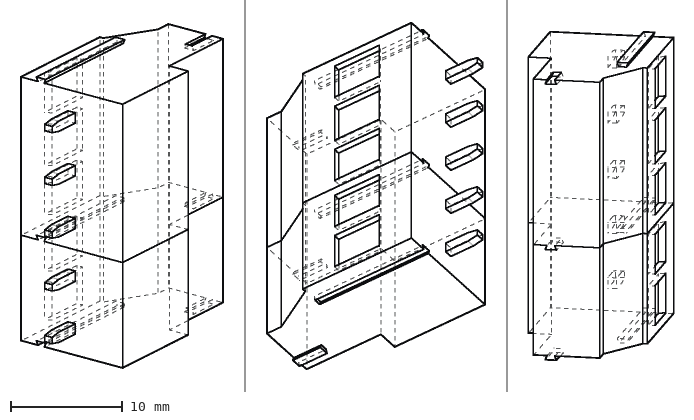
import cadquery as cq


pitch = 5.08
width = 11.3
depth = 18.18
wire_face_length = 12.0
ledge = 0.4
head_left = 3.1
head_right = 9.17
head_flat = 1.6
back_length = 9.98

window_start = 3.56
window_length = 4.93
window_depth = 0.63
window_slope_run = 0.31
partition = 1.07
end_wall = 0.9

dovetail_height = 0.4
dovetail_root = 0.7
dovetail_tip = 1.02
ridge_x = 2.25
tongue_x = 7.57
tongue_length = 3.05

pin_width = 0.8
pin_height = 1.0
pin_tip_height = 0.6
pin_length = 3.5
pin_taper_length = 1.02


def housing(height):
    """Plain housing block with its narrowed head, before windows and joints."""
    outline = [
        (0, 0),
        (width, 0),
        (width, back_length),
        (head_right, back_length),
        (head_right, depth),
        (head_left, depth),
        (head_left, depth - head_flat),
        (ledge, wire_face_length),
        (0, wire_face_length),
    ]
    return cq.Workplane("XY").polyline(outline).close().extrude(height)


def dovetail(x, face_z, direction, y_start, length):
    """Dovetail bar along Y that widens away from face_z; direction is +1 up or -1 down."""
    tip_z = face_z + direction * dovetail_height
    section = [
        (x - dovetail_root / 2, face_z),
        (x + dovetail_root / 2, face_z),
        (x + dovetail_tip / 2, tip_z),
        (x - dovetail_tip / 2, tip_z),
    ]
    plane = cq.Workplane("XZ", origin=(0, y_start, 0))
    return plane.polyline(section).close().extrude(-length)


def ridge(face_z):
    """Long ridge standing up from face_z, also the cutter for its groove."""
    return dovetail(ridge_x, face_z, 1, 0, wire_face_length)


def tongue(face_z):
    """Short tongue hanging below face_z, also the cutter for its groove."""
    return dovetail(tongue_x, face_z, -1, depth - tongue_length, tongue_length)


def window(z_low, z_high):
    """Cutter for one shallow wire entry whose pin-side wall is sloped."""
    window_end = window_start + window_length
    section = [
        (0, window_start),
        (window_depth, window_start + window_slope_run),
        (window_depth, window_end),
        (0, window_end),
    ]
    plane = cq.Workplane("XY", origin=(0, 0, z_low))
    return plane.polyline(section).close().extrude(z_high - z_low)


def pin(z):
    """Solder pin centred on z, tapered in height towards its free end."""
    taper_y = pin_taper_length - pin_length
    section = [
        (0, z - pin_height / 2),
        (taper_y, z - pin_height / 2),
        (-pin_length, z - pin_tip_height / 2),
        (-pin_length, z + pin_tip_height / 2),
        (taper_y, z + pin_height / 2),
        (0, z + pin_height / 2),
    ]
    plane = cq.Workplane("YZ", origin=((width - pin_width) / 2, 0, 0))
    return plane.polyline(section).close().extrude(pin_width)


def module(poles):
    """Terminal module with the given number of poles."""
    height = poles * pitch
    body = housing(height)
    for pole in range(poles):
        cell_low = pole * pitch
        cell_high = cell_low + pitch
        window_low = max(cell_low + partition / 2, end_wall)
        window_high = min(cell_high - partition / 2, height - end_wall)
        body = body.cut(window(window_low, window_high))
        body = body.union(pin(cell_low + pitch / 2))
    body = body.union(ridge(height)).cut(ridge(0))
    return body.union(tongue(0)).cut(tongue(height))


lower_poles = 2
upper_poles = 3

lower_module = module(lower_poles)
upper_module = module(upper_poles).translate((0, 0, lower_poles * pitch))

result = cq.Compound.makeCompound([lower_module.val(), upper_module.val()])